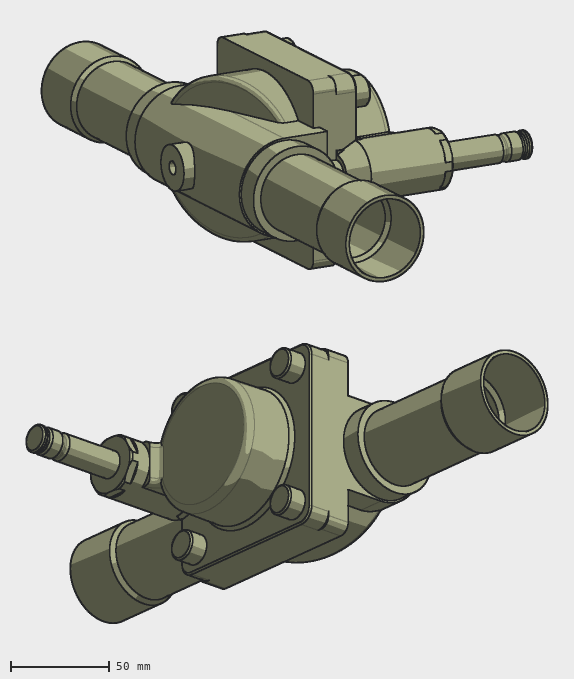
import cadquery as cq
import math


pipe_length = 316.0
socket_diameter = 45.5
pipe_diameter = 41.5
pipe_bore = 37.3
socket_length = 30.3
socket_taper = 2.5
socket_bore = socket_diameter - (pipe_diameter - pipe_bore)

body_diameter = 52.0
body_right = 53.5
body_top = 25.3
collar_diameter = 50.0
collar_length = 132.0

valve_x = -5.0
flange_size = 100.0
body_left = valve_x - flange_size / 2
flange_bottom = 21.8
cover_bottom = 35.0
cover_top = 47.5
flange_corner = 5.7
cover_corner = 8.0
cover_edge = 1.0

bowl_diameter = 86.5
bowl_floor_left = -17.0
bowl_floor_right = 15.2
bowl_edge = 3.0

drain_diameter = 24.0
drain_end = -32.2
drain_hole_diameter = 7.0
drain_hole_depth = 4.7
drill_tip_angle = 118.0

dome_top = 76.8
dome_base_diameter = 72.7
dome_top_diameter = 71.7
dome_edge = 3.8

foot_height = 2.5
foot_spread = 1.5

screw_diameter = 16.0
screw_spacing = 75.8
screw_head_top = 57.8
screw_head_edge = 1.0

pilot_x = 45.8
pilot_diameter = 32.2
pilot_top = 89.5
pilot_taper_top = 46.0
pilot_tip_diameter = 20.2
column_diameter = 15.0
nut_flats = 30.0
nut_top = 94.2
nut_edge = 1.0

bridge_width = 24.5
bridge_edge = 3.8
bridge_blend = 4.7

tube_diameter = 15.0
tube_top = 145.5
tube_groove_diameter = 13.5
tube_chamfer = 1.0
upper_groove = (143.0, 142.2, 141.0, 139.5)
lower_groove = (132.7, 130.8, 130.0, 128.0)


def along_y(x, z, diameter, start, end):
    """Cylinder parallel to Y between two heights."""
    plane = cq.Workplane("XZ", origin=(x, start, z))
    return plane.circle(diameter / 2).extrude(start - end)


def along_x(diameter, start, end):
    """Cylinder on the flow axis between two X positions."""
    return cq.Workplane("YZ", origin=(start, 0, 0)).circle(diameter / 2).extrude(end - start)


def turned_y(x, points):
    """Solid turned about a Y-parallel axis from (radius, height) points."""
    profile = cq.Workplane("XY", origin=(x, 0, 0)).polyline(points).close()
    return profile.revolve(360, (0, 0, 0), (0, 1, 0))


def turned_x(points):
    """Solid turned about the flow axis from (position, radius) points."""
    return cq.Workplane("XY").polyline(points).close().revolve(360, (0, 0, 0), (1, 0, 0))


def pipe_profile(socket_dia, stub_dia):
    """Left half profile of a stub that widens into a socket at its end."""
    end = -pipe_length / 2
    inner_end = -collar_length / 2
    taper_start = end + socket_length
    taper_end = taper_start + socket_taper
    return [
        (end, 0),
        (end, socket_dia / 2),
        (taper_start, socket_dia / 2),
        (taper_end, stub_dia / 2),
        (inner_end, stub_dia / 2),
        (inner_end, 0),
    ]


def pipe_stub():
    """Blind stub at the left end, reaching to the collar."""
    outside = turned_x(pipe_profile(socket_diameter, pipe_diameter))
    bore = turned_x(pipe_profile(socket_bore, pipe_bore))
    return outside.cut(bore)


def valve_body():
    """Round body with flat sides rising to the flange, and its end collars."""
    barrel = along_x(body_diameter, body_left, body_right)
    neck = cq.Workplane("XY").box(
        body_right - body_left, body_top, body_diameter, centered=(False, False, True)
    ).translate((body_left, 0, 0))
    return along_x(collar_diameter, -collar_length / 2, collar_length / 2).union(barrel).union(neck)


def square_plate(bottom, top, corner):
    """Square plate centred on the valve axis with rounded corners."""
    plate = cq.Workplane("XZ", origin=(valve_x, bottom, 0)).rect(flange_size, flange_size)
    return plate.extrude(bottom - top).edges("|Y").fillet(corner)


def bowl():
    """Round bowl below the flange with a slanted floor and a rounded rim."""
    radius = bowl_diameter / 2
    left = valve_x - radius
    right = valve_x + radius
    outline = [
        (left, flange_bottom),
        (left, bowl_floor_left),
        (right, bowl_floor_right),
        (right, flange_bottom),
    ]
    wedge = cq.Workplane("XY").polyline(outline).close().extrude(radius, both=True)
    drum = along_y(valve_x, 0, bowl_diameter, bowl_floor_left, flange_bottom)
    return drum.intersect(wedge).faces("<Y").edges().fillet(bowl_edge)


def drain_boss():
    """Boss on the underside of the body."""
    return along_y(valve_x, 0, drain_diameter, drain_end, 0)


def drain_hole():
    """Blind drilled hole with a conical tip."""
    radius = drain_hole_diameter / 2
    shoulder = drain_end + drain_hole_depth
    tip = shoulder + radius / math.tan(math.radians(drill_tip_angle / 2))
    return turned_y(valve_x, [(0, drain_end), (radius, drain_end), (radius, shoulder), (0, tip)])


def dome():
    """Slightly tapered cap with a rounded top edge and a flared foot."""
    base_radius = dome_base_diameter / 2
    foot_top = cover_top + foot_height
    cap = turned_y(valve_x, [
        (0, cover_top),
        (base_radius + foot_spread, cover_top),
        (base_radius, foot_top),
        (dome_top_diameter / 2, dome_top),
        (0, dome_top),
    ])
    return cap.faces(">Y").edges().fillet(dome_edge)


def cover_screws():
    """Four screw heads at the corners of the cover."""
    heads = cq.Workplane("XY")
    half = screw_spacing / 2
    for x in (valve_x - half, valve_x + half):
        for z in (-half, half):
            head = along_y(x, z, screw_diameter, cover_bottom, screw_head_top)
            heads = heads.add(head.faces(">Y").chamfer(screw_head_edge))
    return heads.combine()


def bridge():
    """Rib level with the dome top that curves up into the pilot valve."""
    wall_x = pilot_x - pilot_diameter / 2
    blend_top = dome_top + bridge_blend
    arc_offset = bridge_blend * math.sqrt(0.5)
    rib = (
        cq.Workplane("XY")
        .moveTo(valve_x, cover_bottom)
        .lineTo(valve_x, dome_top)
        .lineTo(wall_x - bridge_blend, dome_top)
        .threePointArc(
            (wall_x - bridge_blend + arc_offset, blend_top - arc_offset),
            (wall_x, blend_top),
        )
        .lineTo(pilot_x, blend_top)
        .lineTo(pilot_x, cover_bottom)
        .close()
        .extrude(bridge_width / 2, both=True)
    )
    upper_zone = cq.selectors.BoxSelector(
        (valve_x, dome_top - bridge_edge, -bridge_width),
        (wall_x, blend_top, bridge_width),
    )
    upper_edges = rib.edges(upper_zone).edges("not |Z")
    return upper_edges.fillet(bridge_edge)


def pilot_foot():
    """Flare around the pilot valve, ending at the edge of the cover."""
    radius = pilot_diameter / 2
    flare = turned_y(pilot_x, [
        (0, cover_top),
        (radius + foot_spread, cover_top),
        (radius, cover_top + foot_height),
        (0, cover_top + foot_height),
    ])
    over_cover = cq.Workplane("XZ", origin=(valve_x, cover_top, 0)).rect(flange_size, flange_size)
    return flare.intersect(over_cover.extrude(-foot_height))


def pilot_valve():
    """Pilot housing with a tapered lower end, a column to the body and a nut."""
    radius = pilot_diameter / 2
    housing = turned_y(pilot_x, [
        (0, cover_bottom),
        (pilot_tip_diameter / 2, cover_bottom),
        (radius, pilot_taper_top),
        (radius, pilot_top),
        (0, pilot_top),
    ])
    column = along_y(pilot_x, 0, column_diameter, 0, cover_bottom)
    across_corners = nut_flats / math.cos(math.pi / 6)
    hexagon = cq.Workplane("XZ", origin=(pilot_x, pilot_top, 0)).polygon(6, across_corners)
    blank = along_y(pilot_x, 0, pilot_diameter, pilot_top, nut_top).faces(">Y").chamfer(nut_edge)
    nut = hexagon.extrude(pilot_top - nut_top).intersect(blank)
    return housing.union(column).union(nut)


def solenoid_tube():
    """Grooved tube standing on the pilot valve."""
    radius = tube_diameter / 2
    floor = tube_groove_diameter / 2
    points = [(0, tube_top), (radius - tube_chamfer, tube_top), (radius, tube_top - tube_chamfer)]
    for groove in (upper_groove, lower_groove):
        points += zip((radius, floor, floor, radius), groove)
    points += [(radius, pilot_top), (0, pilot_top)]
    return turned_y(pilot_x, points)


left_stub = pipe_stub()
right_stub = left_stub.mirror("YZ")
flange = square_plate(flange_bottom, cover_bottom, flange_corner)
cover = square_plate(cover_bottom, cover_top, cover_corner).faces(">Y").chamfer(cover_edge)

result = valve_body()
for feature in (
    left_stub,
    right_stub,
    flange,
    cover,
    bowl(),
    drain_boss(),
    dome(),
    cover_screws(),
    bridge(),
    pilot_valve(),
    pilot_foot(),
    solenoid_tube(),
):
    result = result.union(feature)
result = result.cut(drain_hole())